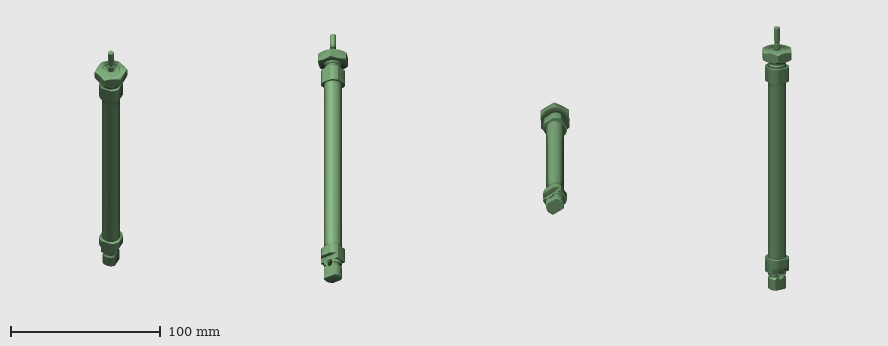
import cadquery as cq
import math

total_length = 186.0

barrel_diameter = 12.0
collar_diameter = 16.0
collar_across_flats = 14.3
front_collar_bottom = 148.0
front_collar_top = 158.3

neck_diameter = barrel_diameter
neck_end_diameter = 11.3
neck_groove_diameter = 10.6
neck_groove_bottom = 160.7
neck_groove_top = 161.8
neck_groove_slope = (neck_diameter - neck_groove_diameter) / 2
neck_end_chamfer = (neck_diameter - neck_end_diameter) / 2

nut_across_flats = 19.0
nut_bottom = 163.7
nut_height = 6.5
nut_top = nut_bottom + nut_height
nut_chamfer_diameter = 19.2
nut_chamfer_angle = 30.0
nut_rotation = 30.0

rod_diameter = 4.0
rod_groove_diameter = 3.2
rod_groove_bottom = 174.1
rod_groove_top = 175.5
rod_groove_slope = (rod_diameter - rod_groove_diameter) / 2
rod_tip_chamfer = 0.4
rod_bottom = front_collar_top

rear_collar_top = 22.1
rear_shoulder = 16.0
rear_collar_bottom = 12.3
tang_thickness = 8.7
tang_diameter = barrel_diameter
tang_chamfer = 0.5
tang_groove_diameter = 10.0
tang_groove_bottom = 9.0
tang_groove_top = 10.0
tang_groove_slope = (tang_diameter - tang_groove_diameter) / 2

pin_hole_diameter = 4.0
pin_hole_height = 10.5
pin_hole_chamfer = 1.0


def cylinder(diameter, bottom, top):
    """Cylinder on the Z axis between two heights."""
    return cq.Workplane("XY").workplane(offset=bottom).circle(diameter / 2).extrude(top - bottom)


def revolve_profile(points):
    """Solid of revolution about Z from (radius, height) points."""
    return cq.Workplane("XZ").polyline(points).close().revolve(360, (0, 0), (0, 1))


def squared_collar(bottom, top):
    """Round collar with four flats."""
    size = collar_across_flats
    block = cq.Workplane("XY").box(size, size, top - bottom, centered=(True, True, False))
    return cylinder(collar_diameter, bottom, top).intersect(block.translate((0, 0, bottom)))


def make_front_end():
    """Front collar and the undercut neck that carries the nut."""
    neck_radius = neck_diameter / 2
    groove_radius = neck_groove_diameter / 2
    neck = revolve_profile([
        (0, front_collar_top),
        (neck_radius, front_collar_top),
        (neck_radius, neck_groove_bottom - neck_groove_slope),
        (groove_radius, neck_groove_bottom),
        (groove_radius, neck_groove_top),
        (neck_radius, neck_groove_top + neck_groove_slope),
        (neck_radius, nut_top - neck_end_chamfer),
        (neck_end_diameter / 2, nut_top),
        (0, nut_top),
    ])
    collar = squared_collar(front_collar_bottom, front_collar_top)
    return collar.union(neck)


def make_rear_end():
    """Rear collar and the grooved round end, both cut to the tang thickness."""
    end_radius = tang_diameter / 2
    groove_radius = tang_groove_diameter / 2
    round_end = revolve_profile([
        (0, 0),
        (end_radius - tang_chamfer, 0),
        (end_radius, tang_chamfer),
        (end_radius, tang_groove_bottom - tang_groove_slope),
        (groove_radius, tang_groove_bottom),
        (groove_radius, tang_groove_top),
        (end_radius, tang_groove_top),
        (end_radius, rear_collar_bottom),
        (0, rear_collar_bottom),
    ])
    rear = squared_collar(rear_collar_bottom, rear_collar_top).union(round_end)
    tang = cq.Workplane("XY").box(tang_thickness, collar_diameter, rear_shoulder, centered=(True, True, False))
    return rear.intersect(tang.union(cylinder(collar_diameter, rear_shoulder, rear_collar_top)))


def make_pin_hole():
    """Cross hole along X, countersunk at both tang faces."""
    half_tang = tang_thickness / 2
    radius = pin_hole_diameter / 2
    mouth_radius = radius + pin_hole_chamfer
    profile = [
        (-half_tang, 0),
        (-half_tang, mouth_radius),
        (-half_tang + pin_hole_chamfer, radius),
        (half_tang - pin_hole_chamfer, radius),
        (half_tang, mouth_radius),
        (half_tang, 0),
    ]
    hole = cq.Workplane("XY").polyline(profile).close().revolve(360, (0, 0), (1, 0))
    return hole.translate((0, 0, pin_hole_height))


def make_housing():
    """Barrel with both end pieces, the pin hole and the rod bore."""
    barrel = cylinder(barrel_diameter, rear_collar_top, front_collar_bottom)
    housing = barrel.union(make_front_end()).union(make_rear_end())
    housing = housing.cut(make_pin_hole())
    return housing.cut(cylinder(rod_diameter, rod_bottom, nut_top))


def make_nut():
    """Hexagon nut chamfered at both ends, with a bore that fits the neck."""
    corner_radius = nut_across_flats / math.sqrt(3)
    chamfer_radius = nut_chamfer_diameter / 2
    chamfer_drop = (corner_radius - chamfer_radius) * math.tan(math.radians(nut_chamfer_angle))
    hexagon = (
        cq.Workplane("XY")
        .workplane(offset=nut_bottom)
        .polygon(6, 2 * corner_radius)
        .extrude(nut_height)
        .rotate((0, 0, 0), (0, 0, 1), nut_rotation)
    )
    envelope = revolve_profile([
        (0, nut_bottom),
        (chamfer_radius, nut_bottom),
        (corner_radius, nut_bottom + chamfer_drop),
        (corner_radius, nut_top - chamfer_drop),
        (chamfer_radius, nut_top),
        (0, nut_top),
    ])
    bore = cylinder(neck_diameter, nut_bottom, nut_top)
    return hexagon.intersect(envelope).cut(bore)


def make_rod():
    """Piston rod with a groove and a chamfered tip."""
    rod_radius = rod_diameter / 2
    groove_radius = rod_groove_diameter / 2
    return revolve_profile([
        (0, rod_bottom),
        (rod_radius, rod_bottom),
        (rod_radius, rod_groove_bottom),
        (groove_radius, rod_groove_bottom),
        (groove_radius, rod_groove_top),
        (rod_radius, rod_groove_top + rod_groove_slope),
        (rod_radius, total_length - rod_tip_chamfer),
        (rod_radius - rod_tip_chamfer, total_length),
        (0, total_length),
    ])


housing = make_housing()
nut = make_nut()
rod = make_rod()

result = cq.Compound.makeCompound([housing.val(), nut.val(), rod.val()])